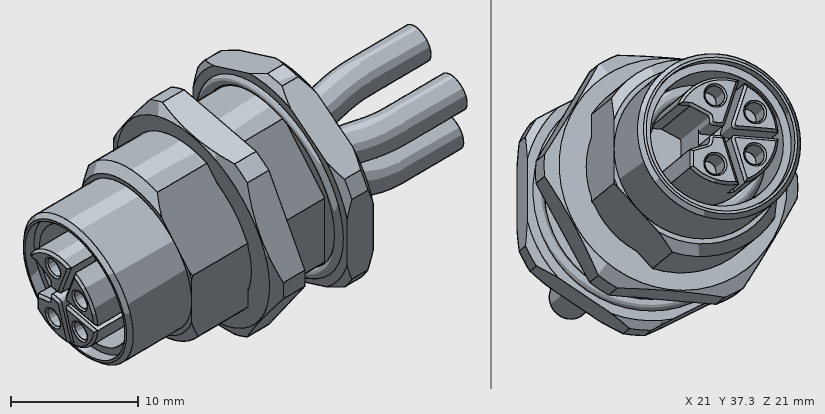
import cadquery as cq
import math


RIM_Y = 1.5
SHOULDER_Y = 7.82
NUT_FRONT_Y = 13.55
NUT_BACK_Y = 16.3
FLANGE_FRONT_Y = 21.42
FLANGE_BACK_Y = 24.1
BEND_START_Y = 25.3
BEND_END_Y = 31.3
WIRE_END_Y = 37.25

SHELL_RADIUS = 13.5 / 2
SHELL_CHAMFER = 0.37
MOUTH_RADIUS = 12.3 / 2
MOUTH_FLOOR_Y = 2.42
BORE_RADIUS = 11.0 / 2
BORE_FLOOR_Y = 7.45
BODY_RADIUS = 8.0
SHOULDER_RADIUS = 7.15
SHOULDER_LENGTH = 0.67
BODY_FLAT_ANGLES = (0, 45, 180, 225)

ACROSS_FLATS = 19.0
CORNER_RADIUS = 20.97 / 2
NUT_FACE_RADIUS = 9.42
NUT_CHAMFER = 0.55
NUT_BORE_RADIUS = 7.2
FLANGE_FACE_RADIUS = 9.85
FLANGE_FRONT_CHAMFER = 0.5
FLANGE_BACK_CHAMFER = 0.55

BORE_RING_RADIUS = 4.85
BORE_RING_TUBE = 0.67
FLANGE_RING_RADIUS = 8.55
FLANGE_RING_TUBE = 0.5
FLANGE_RING_HEIGHT = 0.37

INSERT_RADIUS = 4.35
LAND_CHAMFER = 0.22
SLOT_WIDTH = 0.52
KEY_SLOT_WIDTH = 0.8
SLOT_FLOOR_Y = 2.98
SLOT_ANGLES = (0, 72, 288)
LAND_CORNER_RADIUS = 0.35
KEY_INNER_X = -1.35
KEY_OUTER_X = -2.95
KEY_INNER_HALF_WIDTH = 1.1
KEY_TOP_Z = 1.83
KEY_BOTTOM_Z = -1.7

CONTACT_CIRCLE_RADIUS = 2.95
CONTACT_DIAMETER = 1.6
CONTACT_COUNTERSINK = 0.15
CONTACT_DEPTH = 2.27
WIRE_RADIUS = 3.3 / 2
WIRE_SPREAD = 1.2
WIRES = ((108, 90), (36, 14), (324, 308), (252, 270))


def section_plane(y):
    """Plane across the axis: local x is X, local y is Z."""
    return cq.Workplane("XZ", origin=(0, y, 0))


def cylinder(radius, front, back):
    return section_plane(front).circle(radius).extrude(front - back)


def turned(profile):
    """Revolve a closed (radius, y) outline about the axis."""
    return cq.Workplane("XY").polyline(profile).close().revolve(360, (0, 0, 0), (0, 1, 0))


def ring(centre, tube, y):
    """Round sealing ring lying across the axis."""
    return cq.Workplane("XY").center(centre, y).circle(tube).revolve(360, (-centre, 0, 0), (-centre, 1, 0))


def on_circle(radius, angle):
    return (radius * math.cos(math.radians(angle)), radius * math.sin(math.radians(angle)))


def hexagon(front, back, turn, face_radius, front_chamfer, back_chamfer):
    """Hexagon with rounded corners and coned end edges."""
    corner_diameter = ACROSS_FLATS / math.cos(math.pi / 6)
    prism = section_plane(front).polygon(6, corner_diameter).extrude(front - back)
    prism = prism.rotate((0, 0, 0), (0, 1, 0), turn)
    envelope = [
        (0, front),
        (face_radius, front),
        (CORNER_RADIUS, front + front_chamfer),
        (CORNER_RADIUS, back - back_chamfer),
    ]
    if back_chamfer:
        envelope.append((face_radius, back))
    envelope.append((0, back))
    return prism.intersect(turned(envelope))


def threaded_body():
    """Round body with a coned shoulder and four flats."""
    body = turned([
        (0, SHOULDER_Y),
        (SHOULDER_RADIUS, SHOULDER_Y),
        (BODY_RADIUS, SHOULDER_Y + SHOULDER_LENGTH),
        (BODY_RADIUS, FLANGE_FRONT_Y),
        (0, FLANGE_FRONT_Y),
    ])
    length = FLANGE_FRONT_Y - SHOULDER_Y
    for angle in BODY_FLAT_ANGLES:
        cutter = (
            section_plane(SHOULDER_Y)
            .center(SHELL_RADIUS + BODY_RADIUS / 2, 0)
            .rect(BODY_RADIUS, 2 * BODY_RADIUS)
            .extrude(-length)
            .rotate((0, 0, 0), (0, 1, 0), -angle)
        )
        body = body.cut(cutter)
    return body


def shell():
    """Front sleeve with a stepped bore."""
    return turned([
        (0, SHOULDER_Y),
        (SHELL_RADIUS, SHOULDER_Y),
        (SHELL_RADIUS, RIM_Y + SHELL_CHAMFER),
        (SHELL_RADIUS - SHELL_CHAMFER, RIM_Y),
        (MOUTH_RADIUS, RIM_Y),
        (MOUTH_RADIUS, MOUTH_FLOOR_Y),
        (BORE_RADIUS, MOUTH_FLOOR_Y),
        (BORE_RADIUS, BORE_FLOOR_Y),
        (0, BORE_FLOOR_Y),
    ])


def slot(angle, width, length):
    """Radial slot running outwards from the axis."""
    return (
        section_plane(0)
        .center(length / 2, 0)
        .rect(length, width)
        .extrude(-SLOT_FLOOR_Y)
        .rotate((0, 0, 0), (0, 1, 0), -angle)
    )


def contact_insert():
    """Insert divided into four lands, each with one contact hole."""
    insert = cylinder(INSERT_RADIUS, 0, SHOULDER_Y)
    slots = slot(180, KEY_SLOT_WIDTH, INSERT_RADIUS)
    for angle in SLOT_ANGLES:
        slots = slots.union(slot(angle, SLOT_WIDTH, 1.2 * INSERT_RADIUS))
    key_pocket = (
        section_plane(0)
        .moveTo(-1.2 * INSERT_RADIUS, KEY_TOP_Z)
        .lineTo(KEY_OUTER_X, KEY_TOP_Z)
        .lineTo(KEY_INNER_X, KEY_INNER_HALF_WIDTH)
        .lineTo(KEY_INNER_X, -KEY_INNER_HALF_WIDTH)
        .lineTo(KEY_OUTER_X, KEY_BOTTOM_Z)
        .lineTo(KEY_OUTER_X, -1.2 * INSERT_RADIUS)
        .lineTo(-1.2 * INSERT_RADIUS, -1.2 * INSERT_RADIUS)
        .close()
        .extrude(-BORE_FLOOR_Y)
    )
    insert = insert.cut(slots).cut(key_pocket)
    land_corners = cq.selectors.BoxSelector((-1.5, 0, -1.3), (1.1, BORE_FLOOR_Y, 1.3))
    insert = insert.edges("|Y").edges(land_corners).fillet(LAND_CORNER_RADIUS)
    insert = insert.faces("<Y").edges().chamfer(LAND_CHAMFER)
    for angle, _ in WIRES:
        x, z = on_circle(CONTACT_CIRCLE_RADIUS, angle)
        radius = CONTACT_DIAMETER / 2
        hole = turned([
            (0, 0),
            (radius + CONTACT_COUNTERSINK, 0),
            (radius, CONTACT_COUNTERSINK),
            (radius, CONTACT_DEPTH),
            (0, CONTACT_DEPTH),
        ])
        insert = insert.cut(hole.translate((x, 0, z)))
    return insert


def wire(contact_angle, spread_angle):
    """Wire leaving behind a contact and spreading in an S-bend of two equal arcs."""
    run = BEND_END_Y - BEND_START_Y
    half_turn = math.atan2(WIRE_SPREAD, run)
    bend_radius = run / 2 / math.sin(2 * half_turn)
    side = bend_radius * (1 - math.cos(half_turn))
    forward = bend_radius * math.sin(half_turn)
    path = (
        cq.Workplane("XY")
        .moveTo(0, FLANGE_FRONT_Y)
        .lineTo(0, BEND_START_Y)
        .threePointArc((side, BEND_START_Y + forward), (WIRE_SPREAD / 2, BEND_START_Y + run / 2))
        .threePointArc((WIRE_SPREAD - side, BEND_END_Y - forward), (WIRE_SPREAD, BEND_END_Y))
        .lineTo(WIRE_SPREAD, WIRE_END_Y)
    )
    x, z = on_circle(CONTACT_CIRCLE_RADIUS, contact_angle)
    return (
        section_plane(FLANGE_FRONT_Y)
        .circle(WIRE_RADIUS)
        .sweep(path)
        .rotate((0, 0, 0), (0, 1, 0), -spread_angle)
        .translate((x, 0, z))
    )


bore_ring = ring(BORE_RING_RADIUS, BORE_RING_TUBE, BORE_FLOOR_Y - BORE_RING_TUBE / 2)
flange_ring = ring(FLANGE_RING_RADIUS, FLANGE_RING_TUBE, FLANGE_FRONT_Y - FLANGE_RING_HEIGHT + FLANGE_RING_TUBE)
nut = hexagon(NUT_FRONT_Y, NUT_BACK_Y, 0, NUT_FACE_RADIUS, NUT_CHAMFER, 0)
nut = nut.cut(cylinder(NUT_BORE_RADIUS, NUT_FRONT_Y, NUT_BACK_Y))
flange = hexagon(
    FLANGE_FRONT_Y, FLANGE_BACK_Y, 30, FLANGE_FACE_RADIUS, FLANGE_FRONT_CHAMFER, FLANGE_BACK_CHAMFER
)

result = shell().union(threaded_body()).union(nut).union(flange)
result = result.union(flange_ring).union(bore_ring).union(contact_insert())
for contact_angle, spread_angle in WIRES:
    result = result.union(wire(contact_angle, spread_angle))